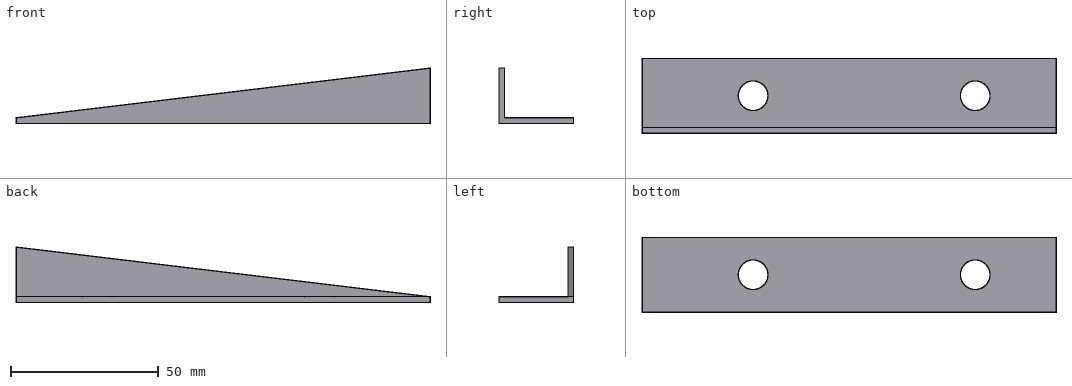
import cadquery as cq

length = 140.0
width = 25.3
height = 18.8
thickness = 2.0

hole_diameter = 10.0
first_hole_x = 37.5
hole_spacing = 75.0

base = cq.Workplane("XY").box(length, width, thickness, centered=False)

wall = (
    cq.Workplane("XZ")
    .polyline([(0, 0), (length, 0), (length, height), (0, thickness)])
    .close()
    .extrude(-thickness)
)

hole_centers = [(first_hole_x + i * hole_spacing, width / 2) for i in range(2)]
holes = (
    cq.Workplane("XY")
    .pushPoints(hole_centers)
    .circle(hole_diameter / 2)
    .extrude(thickness)
)

result = base.union(wall).cut(holes)